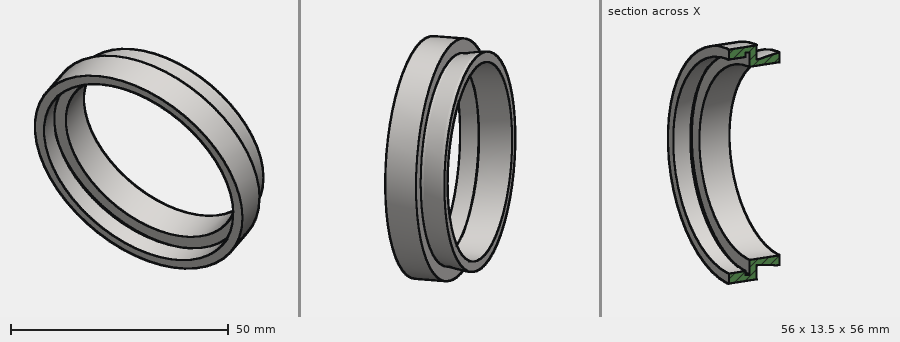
import cadquery as cq

flange_diameter = 56.0
bore_diameter = 46.0
recess_diameter = 51.0
total_length = 13.5
flange_length = 7.5
recess_depth = 5.5

groove_diameter = 53.0
groove_width = 1.0

neck_diameter = 49.3
rim_diameter = 50.8
neck_length = 0.8
rim_length = 0.8

front_y = 0.0
recess_floor_y = front_y + recess_depth
groove_front_y = recess_floor_y - groove_width
flange_back_y = front_y + flange_length
cone_start_y = flange_back_y + neck_length
back_y = front_y + total_length
cone_end_y = back_y - rim_length

flange_radius = flange_diameter / 2
bore_radius = bore_diameter / 2
recess_radius = recess_diameter / 2
groove_radius = groove_diameter / 2
neck_radius = neck_diameter / 2
rim_radius = rim_diameter / 2


def ring_profile():
    """Half section of the ring, drawn as (radius, distance along the axis)."""
    return (
        cq.Workplane("XY")
        .moveTo(recess_radius, front_y)
        .lineTo(flange_radius, front_y)
        .lineTo(flange_radius, flange_back_y)
        .lineTo(neck_radius, flange_back_y)
        .lineTo(neck_radius, cone_start_y)
        .lineTo(rim_radius, cone_end_y)
        .lineTo(rim_radius, back_y)
        .lineTo(bore_radius, back_y)
        .lineTo(bore_radius, recess_floor_y)
        .lineTo(groove_radius, recess_floor_y)
        .lineTo(groove_radius, groove_front_y)
        .lineTo(recess_radius, groove_front_y)
        .close()
    )


result = ring_profile().revolve(360, (0, 0, 0), (0, 1, 0))